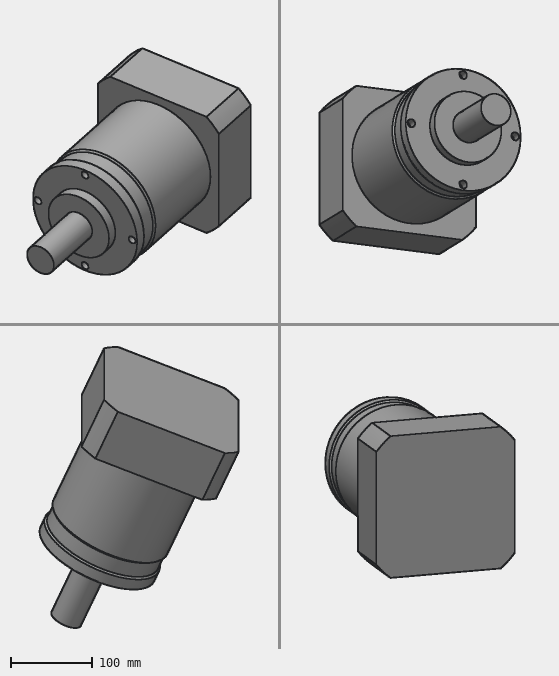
import cadquery as cq

total_length = 326.5

flange_side = 180.0
flange_corner_diameter = 230.0
flange_thickness = 70.0

housing_diameter = 155.0
groove_diameter = 150.2
groove_bevel = (housing_diameter - groove_diameter) / 2
groove_width = 25.0
front_land = 15.0

shaft_diameter = 40.0
shaft_length = 83.3
pilot_diameter = 90.0
pilot_length = 13.7

hole_count = 4
hole_diameter = 10.0
hole_depth = 14.7
hole_circle_diameter = 140.0

housing_face = shaft_length + pilot_length
groove_start = housing_face + front_land
groove_end = groove_start + groove_width
flange_face = total_length - flange_thickness


def face_plane(y):
    """Workplane at station y whose extrusion runs towards +Y."""
    return cq.Workplane(cq.Plane(origin=(0, y, 0), xDir=(1, 0, 0), normal=(0, 1, 0)))


def make_flange():
    square = face_plane(flange_face).rect(flange_side, flange_side).extrude(flange_thickness)
    corner_limit = face_plane(flange_face).circle(flange_corner_diameter / 2).extrude(flange_thickness)
    return square.intersect(corner_limit)


def make_turned_body():
    """Shaft, pilot and grooved housing as one revolved half-profile."""
    shaft_radius = shaft_diameter / 2
    pilot_radius = pilot_diameter / 2
    housing_radius = housing_diameter / 2
    groove_radius = groove_diameter / 2
    profile = [
        (0, 0),
        (shaft_radius, 0),
        (shaft_radius, shaft_length),
        (pilot_radius, shaft_length),
        (pilot_radius, housing_face),
        (housing_radius, housing_face),
        (housing_radius, groove_start),
        (groove_radius, groove_start + groove_bevel),
        (groove_radius, groove_end - groove_bevel),
        (housing_radius, groove_end),
        (housing_radius, flange_face),
        (0, flange_face),
    ]
    return cq.Workplane("XY").polyline(profile).close().revolve(360, (0, 0, 0), (0, 1, 0))


def make_mounting_holes():
    return (
        face_plane(housing_face)
        .polarArray(hole_circle_diameter / 2, 0, 360, hole_count)
        .circle(hole_diameter / 2)
        .extrude(hole_depth)
    )


result = make_turned_body().union(make_flange()).cut(make_mounting_holes())